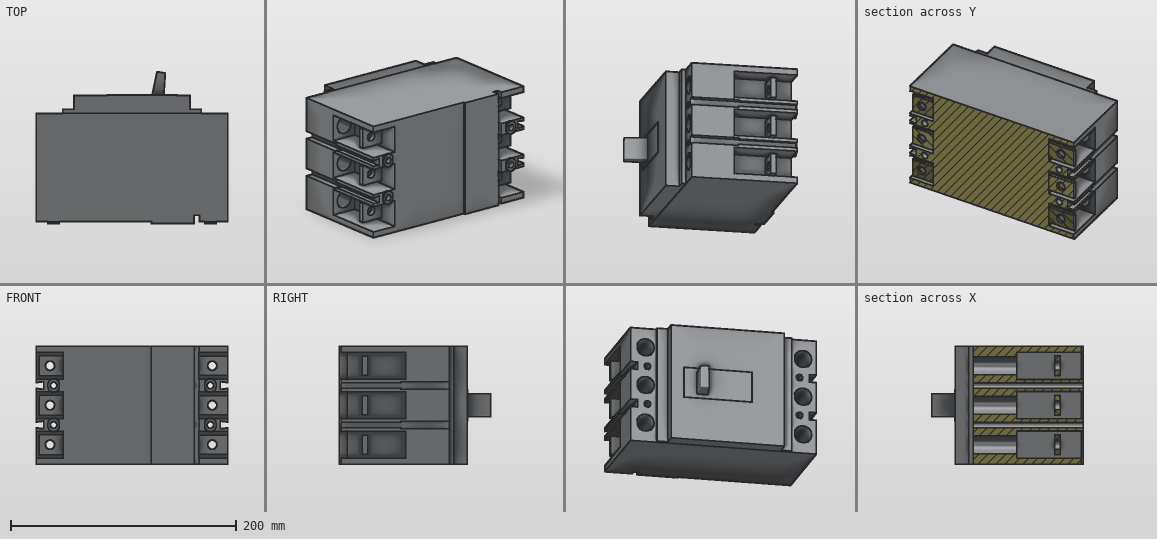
import cadquery as cq
import math


POLE_PITCH = 35.0
POLE_CENTERS = [-POLE_PITCH, 0, POLE_PITCH]
WALL_CENTERS = [-POLE_PITCH / 2, POLE_PITCH / 2]

LENGTH = 170.0
WIDTH = 105.0
BODY_DEPTH = 96.0

STEP_LENGTH = 123.0
STEP_TOP = 99.8
COVER_LENGTH = 103.4
COVER_TOP = 112.0
BEZEL_LENGTH = 62.2
BEZEL_WIDTH = 27.7
BEZEL_THICKNESS = 0.5
BEZEL_CENTER_X = 9.0
BEZEL_TOP = COVER_TOP + BEZEL_THICKNESS

PAD_HEIGHT = 1.9
PAD_START_X = 17.2
GROOVE_START_X = 55.0
GROOVE_WIDTH = 4.8
GROOVE_DEPTH = 5.5

POCKET_DEPTH = 57.3
POCKET_WIDTH = 24.0
LEFT_POCKET_LENGTH = 24.0
RIGHT_POCKET_LENGTH = 25.8
ACCESS_HOLE_DIAMETER = 15.6

TERMINAL_FRONT_Y = 18.7
TERMINAL_THICKNESS = 5.0
TERMINAL_HOLE_DIAMETER = 8.0
LEFT_TERMINAL_WIDTH = 18.0
LEFT_TERMINAL_SETBACK = 2.9
LEFT_TERMINAL_LENGTH = LEFT_POCKET_LENGTH - LEFT_TERMINAL_SETBACK
LEFT_HOLE_INSET = 12.2
LEFT_HOLE_X = -LENGTH / 2 + LEFT_HOLE_INSET
RIGHT_TERMINAL_WIDTH = 17.0
RIGHT_TERMINAL_LENGTH = RIGHT_POCKET_LENGTH
RIGHT_HOLE_INSET = 13.8
RIGHT_HOLE_X = LENGTH / 2 - RIGHT_HOLE_INSET

BOSS_X = 69.5
BOSS_LENGTH = 12.0
BOSS_WIDTH = 10.2
MOUNTING_HOLE_DIAMETER = 5.8

SLOT_DEPTH = 6.5
SLOT_MOUTH = 5.0
SLOT_FLOOR = 6.6
WIDE_SLOT_WIDTH = 7.0
WIDE_SLOT_START_Y = 53.2

LEVER_WIDTH = 20.5
LEVER_FOOT_LEFT_X = 18.0
LEVER_FOOT_RIGHT_X = 28.4
LEVER_FOOT_HEIGHT = 1.7
LEVER_LEAN = 11.9
LEVER_TIP_LEFT_Y = 133.1
LEVER_TIP_LENGTH = 7.5
LEVER_TIP_DROP = 1.2
LEVER_FILLET = 1.0


def block(x_range, y_range, width, center_z=0.0):
    """Box between two X and two Y values, centered on center_z."""
    x_size = x_range[1] - x_range[0]
    y_size = y_range[1] - y_range[0]
    corner = (x_range[0], y_range[0], center_z - width / 2)
    return cq.Workplane("XY").box(x_size, y_size, width, centered=False).translate(corner)


def centered_block(length, y_range, width, center_x=0.0):
    """Block centered on center_x and on the middle pole."""
    return block((center_x - length / 2, center_x + length / 2), y_range, width)


def cylinder_along_y(x, z, diameter, y_range):
    """Round bar along Y, used for holes."""
    center = cq.Vector(x, y_range[0], z)
    height = y_range[1] - y_range[0]
    return cq.Workplane(cq.Solid.makeCylinder(diameter / 2, height, center, cq.Vector(0, 1, 0)))


def make_boss(x, z):
    """Oval boss standing out of the mounting face, long across the wall."""
    return (
        cq.Workplane("XZ", origin=(x, 0, z))
        .slot2D(BOSS_LENGTH, BOSS_WIDTH, 90)
        .extrude(PAD_HEIGHT)
    )


def make_barrier_slot(side, z):
    """Cutter for one barrier slot; side is -1 for the left end and 1 for the right end."""
    end_x = side * LENGTH / 2
    floor_x = end_x - side * SLOT_DEPTH
    dovetail = (
        cq.Workplane("XZ", origin=(0, 0, z))
        .polyline([
            (end_x, -SLOT_MOUTH / 2),
            (end_x, SLOT_MOUTH / 2),
            (floor_x, SLOT_FLOOR / 2),
            (floor_x, -SLOT_FLOOR / 2),
        ])
        .close()
        .extrude(-BODY_DEPTH)
    )
    x_range = (min(end_x, floor_x), max(end_x, floor_x))
    wide_part = block(x_range, (WIDE_SLOT_START_Y, BODY_DEPTH), WIDE_SLOT_WIDTH, z)
    return dovetail.union(wide_part)


def make_base():
    """Main block with its pad, groove, pockets, bosses and slots."""
    base = centered_block(LENGTH, (0, BODY_DEPTH), WIDTH)

    base = base.union(block((PAD_START_X, GROOVE_START_X), (-PAD_HEIGHT, 0), WIDTH))
    groove_end_x = GROOVE_START_X + GROOVE_WIDTH
    base = base.cut(block((GROOVE_START_X, groove_end_x), (0, GROOVE_DEPTH), WIDTH))

    left_pocket = (-LENGTH / 2, -LENGTH / 2 + LEFT_POCKET_LENGTH)
    right_pocket = (LENGTH / 2 - RIGHT_POCKET_LENGTH, LENGTH / 2)
    for z in POLE_CENTERS:
        for x_range, hole_x in ((left_pocket, LEFT_HOLE_X), (right_pocket, RIGHT_HOLE_X)):
            base = base.cut(block(x_range, (0, POCKET_DEPTH), POCKET_WIDTH, z))
            base = base.cut(cylinder_along_y(hole_x, z, ACCESS_HOLE_DIAMETER, (0, BODY_DEPTH)))

    for z in WALL_CENTERS:
        for side in (-1, 1):
            x = side * BOSS_X
            base = base.union(make_boss(x, z))
            hole = cylinder_along_y(x, z, MOUNTING_HOLE_DIAMETER, (-PAD_HEIGHT, BODY_DEPTH))
            base = base.cut(hole).cut(make_barrier_slot(side, z))
    return base


def make_lever():
    """Leaning lever standing on the bezel, rounded along its sides and around its tip."""
    lean = math.radians(LEVER_LEAN)
    foot_radius = LEVER_FOOT_HEIGHT / math.sin(lean)
    bend_x = LEVER_FOOT_LEFT_X + foot_radius * (1 - math.cos(lean))
    bend_y = BEZEL_TOP + LEVER_FOOT_HEIGHT
    tip_left_x = bend_x + (LEVER_TIP_LEFT_Y - bend_y) * math.tan(lean)
    tip_right = (tip_left_x + LEVER_TIP_LENGTH, LEVER_TIP_LEFT_Y - LEVER_TIP_DROP)

    lever = (
        cq.Workplane("XY", origin=(0, 0, -LEVER_WIDTH / 2))
        .moveTo(LEVER_FOOT_RIGHT_X, BEZEL_TOP)
        .lineTo(LEVER_FOOT_LEFT_X, BEZEL_TOP)
        .radiusArc((bend_x, bend_y), foot_radius)
        .lineTo(tip_left_x, LEVER_TIP_LEFT_Y)
        .lineTo(*tip_right)
        .close()
        .extrude(LEVER_WIDTH)
    )
    tip_edges = lever.faces(">Y").edges()
    return lever.faces("|Z").edges("not <Y").add(tip_edges).fillet(LEVER_FILLET)


def make_cover():
    """Stepped cover with its bezel and lever, closing the lever side of the base."""
    step = centered_block(STEP_LENGTH, (BODY_DEPTH, STEP_TOP), WIDTH)
    raised_top = centered_block(COVER_LENGTH, (STEP_TOP, COVER_TOP), WIDTH)
    bezel = centered_block(BEZEL_LENGTH, (COVER_TOP, BEZEL_TOP), BEZEL_WIDTH, BEZEL_CENTER_X)
    return step.union(raised_top).union(bezel).union(make_lever())


def make_terminal(start_x, length, width, hole_x, z):
    """Flat terminal bar with one screw hole."""
    y_range = (TERMINAL_FRONT_Y, TERMINAL_FRONT_Y + TERMINAL_THICKNESS)
    bar = block((start_x, start_x + length), y_range, width, z)
    return bar.cut(cylinder_along_y(hole_x, z, TERMINAL_HOLE_DIAMETER, y_range))


def make_left_terminal(z):
    """Terminal set back from the left end."""
    start_x = -LENGTH / 2 + LEFT_TERMINAL_SETBACK
    return make_terminal(start_x, LEFT_TERMINAL_LENGTH, LEFT_TERMINAL_WIDTH, LEFT_HOLE_X, z)


def make_right_terminal(z):
    """Terminal flush with the right end."""
    start_x = LENGTH / 2 - RIGHT_TERMINAL_LENGTH
    return make_terminal(start_x, RIGHT_TERMINAL_LENGTH, RIGHT_TERMINAL_WIDTH, RIGHT_HOLE_X, z)


base = make_base()
cover = make_cover()
left_terminals = [make_left_terminal(z) for z in POLE_CENTERS]
right_terminals = [make_right_terminal(z) for z in POLE_CENTERS]

result = cq.Compound.makeCompound([
    base.val(),
    cover.val(),
    *[terminal.val() for terminal in left_terminals],
    *[terminal.val() for terminal in right_terminals],
])